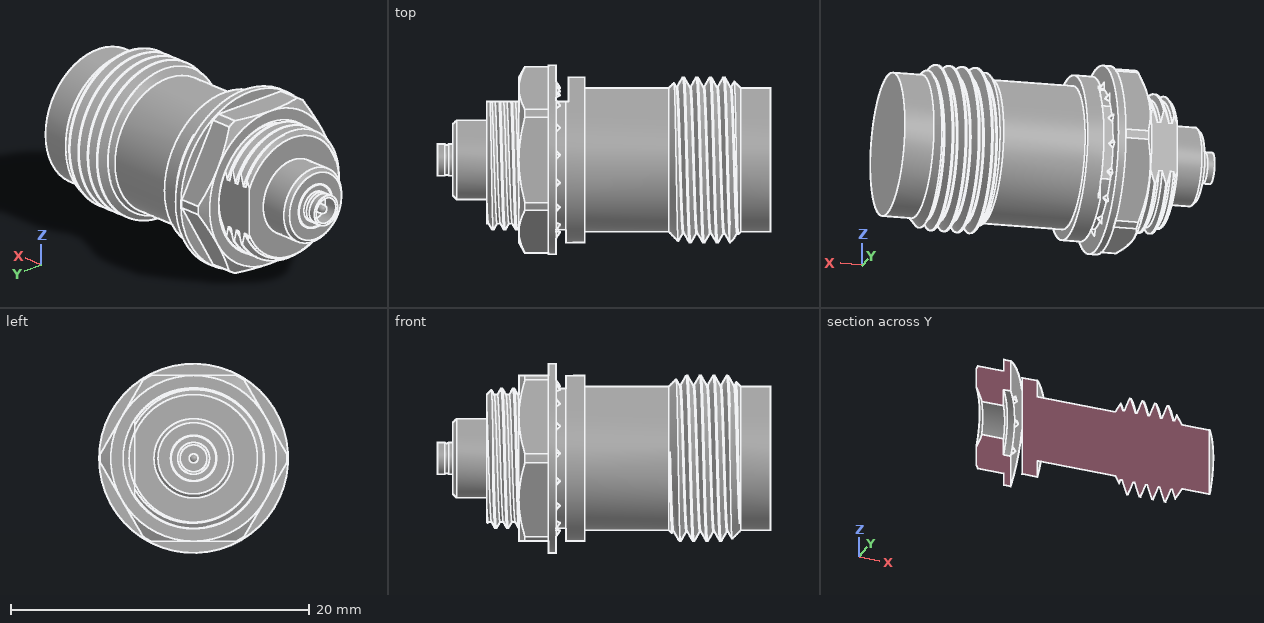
import cadquery as cq
import math


inch = 25.4

sleeve_radius = 1.07
sleeve_bore_radius = 0.9
sleeve_groove_start = 0.49
sleeve_groove_end = 0.77
sleeve_groove_depth = 0.06
pin_radius = 0.3
pin_tip_x = 0.05

pilot_start = 1.02
pilot_radius = 2.66
pilot_chamfer = 0.27
face_groove_outer_radius = 1.55
face_groove_inner_radius = 1.5
face_groove_depth = 0.1

boss_start = 3.3
boss_radius = 4.69
boss_flat_y = 3.93
boss_flat_end = 8.78
boss_core_radius = 4.28
boss_pitch = inch / 32
boss_crest_x = 3.92
boss_crest_width = 0.1
boss_turns = 6

nut_start = 5.47
nut_end = 7.45
nut_across_flats = 7 / 16 * inch
nut_corner_radius = 6.25
nut_chamfer_angle = 30
nut_bore_radius = 4.33
nut_bore_chamfer = 0.4

washer_radius = inch / 4
washer_bore_radius = 4.83
washer_end = 7.97
tooth_count = 16
tooth_height = 0.28
tooth_outer_radius = 5.35
tooth_half_angle = 4
tooth_first_angle = 4

flange_start = 8.62
flange_end = 9.9
flange_radius = 7 / 16 * inch / 2
body_radius = 4.83
body_end = 22.35

coupling_start = 15.52
coupling_end = 20.34
coupling_radius = flange_radius
coupling_core_radius = 4.93
coupling_pitch = inch / 28
coupling_crest_x = 16.27
coupling_crest_width = 0.1
coupling_turns = 8

thread_flank_angle = 30
lead_turns = 2
crest_clearance = 0.1

root_overlap = 0.05


def cylinder(start, end, radius):
    """Solid cylinder on the X axis."""
    return cq.Workplane("YZ", origin=(start, 0, 0)).circle(radius).extrude(end - start)


def turned(points):
    """Solid turned about the X axis from (x, radius) points."""
    return cq.Workplane("XY").polyline(points).close().revolve(360, (0, 0, 0), (1, 0, 0))


def thread_ridge(pitch, core_radius, crest_radius, crest_width, crest_x, turns):
    """Right-hand ridge along X whose crest passes straight below the axis at crest_x."""
    root_radius = core_radius - root_overlap
    half_crest = crest_width / 2
    half_root = half_crest + (crest_radius - root_radius) * math.tan(math.radians(thread_flank_angle))
    helix = cq.Wire.makeHelix(pitch, turns * pitch, root_radius)
    ridge = (
        cq.Workplane("XZ")
        .polyline([
            (root_radius, -half_root),
            (crest_radius, -half_crest),
            (crest_radius, half_crest),
            (root_radius, half_root),
        ])
        .close()
        .sweep(cq.Workplane(helix), isFrenet=True)
    )
    return ridge.rotate((0, 0, 0), (0, 1, 0), 90).translate((crest_x, 0, 0))


def make_sleeve():
    groove_middle = (sleeve_groove_start + sleeve_groove_end) / 2
    shell = (
        cq.Workplane("XY")
        .moveTo(0, sleeve_bore_radius)
        .lineTo(0, sleeve_radius)
        .lineTo(sleeve_groove_start, sleeve_radius)
        .threePointArc(
            (groove_middle, sleeve_radius - sleeve_groove_depth),
            (sleeve_groove_end, sleeve_radius),
        )
        .lineTo(pilot_start, sleeve_radius)
        .lineTo(pilot_start, sleeve_bore_radius)
        .close()
        .revolve(360, (0, 0, 0), (1, 0, 0))
    )
    dome_centre_x = pin_tip_x + pin_radius
    dome = cq.Workplane("XY").sphere(pin_radius).translate((dome_centre_x, 0, 0))
    return shell.union(cylinder(dome_centre_x, pilot_start, pin_radius).union(dome))


def make_pilot():
    pilot = turned([
        (pilot_start, 0),
        (pilot_start, pilot_radius - pilot_chamfer),
        (pilot_start + pilot_chamfer, pilot_radius),
        (boss_start, pilot_radius),
        (boss_start, 0),
    ])
    groove_end = pilot_start + face_groove_depth
    groove = cylinder(pilot_start, groove_end, face_groove_outer_radius).cut(
        cylinder(pilot_start, groove_end, face_groove_inner_radius)
    )
    return pilot.cut(groove)


def make_boss():
    thread_end = nut_start + nut_bore_chamfer
    outer_radius = boss_radius + crest_clearance
    chamfer = outer_radius - boss_core_radius
    envelope = turned([
        (boss_start, 0),
        (boss_start, boss_core_radius),
        (boss_start + chamfer, outer_radius),
        (thread_end, outer_radius),
        (thread_end, 0),
    ])
    ridge = thread_ridge(
        boss_pitch, boss_core_radius, boss_radius, boss_crest_width,
        boss_crest_x - lead_turns * boss_pitch, boss_turns,
    )
    core = cylinder(boss_start, thread_end, boss_core_radius)
    shank = cylinder(thread_end, flange_end, boss_radius)
    return core.union(ridge.intersect(envelope)).union(shank)


def make_flat_cutter():
    length = boss_flat_end - boss_start
    return cq.Workplane("XY").box(
        length, flange_radius, 2 * flange_radius, centered=(False, False, True)
    ).translate((boss_start, boss_flat_y, 0))


def make_nut():
    """Hexagon with corners on the Y axis, bevelled at its -X end."""
    half_flats = nut_across_flats / 2
    bevel_length = (nut_corner_radius - half_flats) * math.tan(math.radians(nut_chamfer_angle))
    hexagon = (
        cq.Workplane("YZ", origin=(nut_start, 0, 0))
        .polygon(6, nut_across_flats / math.cos(math.pi / 6))
        .extrude(nut_end - nut_start)
    )
    envelope = turned([
        (nut_start, 0),
        (nut_start, half_flats),
        (nut_start + bevel_length, nut_corner_radius),
        (nut_end, nut_corner_radius),
        (nut_end, 0),
    ])
    bore = turned([
        (nut_start, 0),
        (nut_start, nut_bore_radius + nut_bore_chamfer),
        (nut_start + nut_bore_chamfer, nut_bore_radius),
        (nut_end, nut_bore_radius),
        (nut_end, 0),
    ])
    return hexagon.intersect(envelope).cut(bore)


def make_tooth():
    """Four-faced tooth on the -Y side, highest at the washer bore."""
    half_width = washer_bore_radius * math.tan(math.radians(tooth_half_angle))
    base_x = washer_end - root_overlap
    outer = cq.Vector(base_x, -tooth_outer_radius, 0)
    upper = cq.Vector(base_x, -washer_bore_radius, half_width)
    lower = cq.Vector(base_x, -washer_bore_radius, -half_width)
    tip = cq.Vector(washer_end + tooth_height, -washer_bore_radius, 0)
    corner_sets = [
        (outer, upper, lower),
        (outer, upper, tip),
        (upper, lower, tip),
        (lower, outer, tip),
    ]
    faces = [
        cq.Face.makeFromWires(cq.Wire.makePolygon(corners, close=True))
        for corners in corner_sets
    ]
    return cq.Workplane(cq.Solid.makeSolid(cq.Shell.makeShell(faces)))


def make_washer():
    washer = cylinder(nut_end, washer_end, washer_radius)
    washer = washer.cut(cylinder(nut_end, washer_end, washer_bore_radius))
    tooth = make_tooth()
    for index in range(tooth_count):
        angle = tooth_first_angle + index * 360 / tooth_count
        washer = washer.union(tooth.rotate((0, 0, 0), (1, 0, 0), -angle))
    return washer


def make_coupling_thread():
    outer_radius = coupling_radius + crest_clearance
    chamfer = outer_radius - body_radius
    core_chamfer = coupling_core_radius - body_radius
    envelope = turned([
        (coupling_start, 0),
        (coupling_start, body_radius),
        (coupling_start + chamfer, outer_radius),
        (coupling_end - chamfer, outer_radius),
        (coupling_end, body_radius),
        (coupling_end, 0),
    ])
    core = turned([
        (coupling_start, 0),
        (coupling_start, body_radius),
        (coupling_start + core_chamfer, coupling_core_radius),
        (coupling_end - core_chamfer, coupling_core_radius),
        (coupling_end, body_radius),
        (coupling_end, 0),
    ])
    ridge = thread_ridge(
        coupling_pitch, coupling_core_radius, coupling_radius, coupling_crest_width,
        coupling_crest_x - lead_turns * coupling_pitch, coupling_turns,
    )
    return core.union(ridge.intersect(envelope))


flange = cylinder(flange_start, flange_end, flange_radius)
body = cylinder(flange_end, body_end, body_radius)

result = (
    make_boss()
    .union(flange)
    .cut(make_flat_cutter())
    .union(make_nut())
    .union(make_washer())
    .union(make_pilot())
    .union(make_sleeve())
    .union(body)
    .union(make_coupling_thread())
)